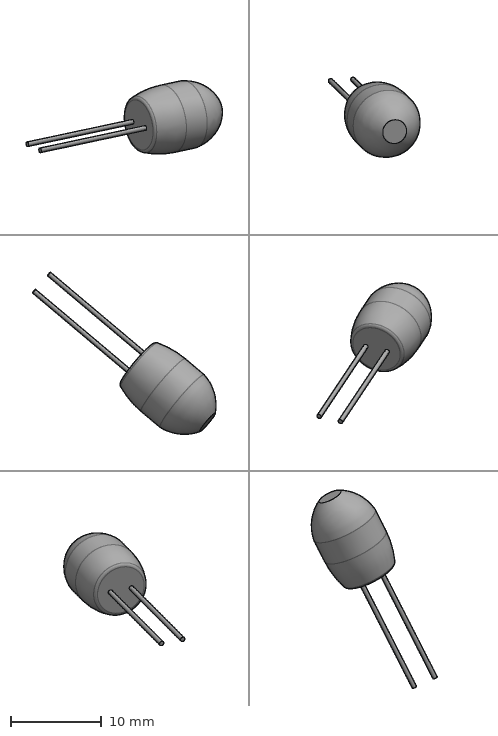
import cadquery as cq
import math

total_length = 24.15
body_diameter = 7.6
body_length = 10.2
body_radius = body_diameter / 2

band_start = 3.77
band_end = 6.52
taper_arc_radius = 10.2
seat_fillet = 0.39
dome_arc_radius = 5.1
tip_radius = 1.35

lead_diameter = 0.53
lead_spacing = 2.54
lead_length = total_length - body_length


def taper_radius(y):
    """Body radius at height y on the taper arc, which runs tangent into the straight band."""
    drop = taper_arc_radius - math.sqrt(taper_arc_radius**2 - (band_start - y) ** 2)
    return body_radius - drop


def make_body():
    """Revolved capsule: filleted seat, curved taper, straight band and blunt dome."""
    profile = (
        cq.Workplane("XY")
        .lineTo(taper_radius(0), 0)
        .threePointArc((taper_radius(band_start / 2), band_start / 2), (body_radius, band_start))
        .lineTo(body_radius, band_end)
        .radiusArc((tip_radius, body_length), -dome_arc_radius)
        .lineTo(0, body_length)
        .close()
    )
    body = profile.revolve(360, (0, 0, 0), (0, 1, 0))
    return body.faces("<Y").edges().fillet(seat_fillet)


def make_lead(x):
    """Straight round wire running from the seat toward -Y."""
    return cq.Workplane("XZ").center(x, 0).circle(lead_diameter / 2).extrude(lead_length)


result = make_body()
for side in (-1, 1):
    result = result.union(make_lead(side * lead_spacing / 2))